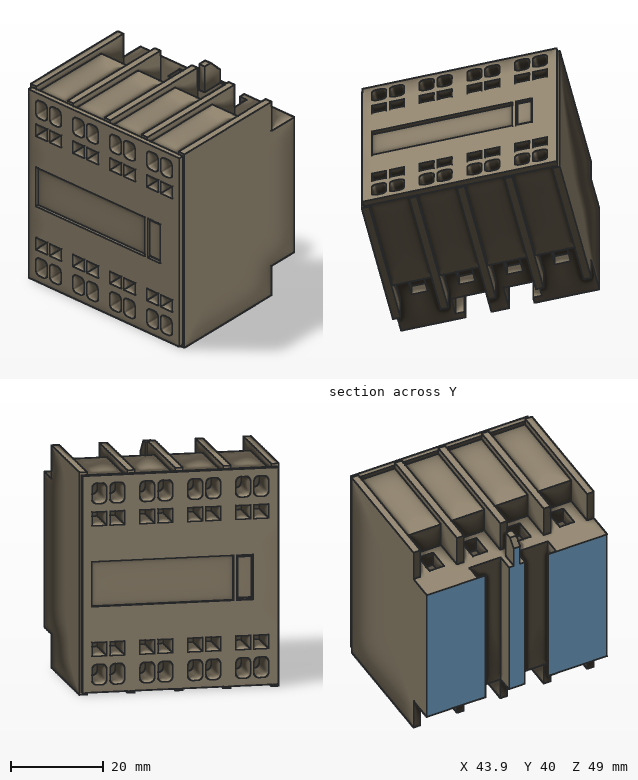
import cadquery as cq


WIDTH = 43.9
HEIGHT = 49.0
DEPTH = 40.0

PLATE_THICKNESS = 1.2
PLATE_WIDTH = 43.05
PLATE_HEIGHT = 47.75

BODY_BACK = 37.25
CORE_HEIGHT = 34.2
BAY_HEIGHT = 45.9
BAY_BACK = 22.4

BAY_COUNT = 4
RIB_THICKNESS = 1.65
RIB_BACK = 29.75
PITCH = (WIDTH - RIB_THICKNESS) / BAY_COUNT

LEDGE_POCKET_WIDTH = 3.55
LEDGE_POCKET_FRONT = 23.8
LEDGE_POCKET_LENGTH = 5.1
LEDGE_POCKET_DEPTH = 3.45

OPENING_FRONT = 32.0
OPENING_OUTER_X = 9.55
LIP_END_X = 7.6
LIP_THICKNESS = 1.4
STEM_WIDTH = 3.9

LATCH_THICKNESS = 1.55
LATCH_FRONT = 32.1
LATCH_TOP = 23.7
LATCH_CHAMFER = 3.15

EYELET_WIDTH = 4.9
EYELET_HEIGHT = 3.45
EYELET_CENTER_Z = 13.77
EYELET_HOLE_WIDTH = 3.25
EYELET_HOLE_LENGTH = 1.65

COLUMN_SPACING = 3.95
TERMINAL_WIDTH = 3.25
TERMINAL_DEPTH = 9.8
SLOT_HEIGHT = 4.5
SLOT_CENTER_Z = 19.95
SLOT_CORNER_RADIUS = 1.15
SQUARE_HEIGHT = 3.05
SQUARE_CENTER_Z = 14.35

RECESS_HEIGHT = 9.9
RECESS_DEPTH = 0.8
LABEL_LEFT = -19.45
LABEL_LENGTH = 31.2
BUTTON_LEFT = 12.45
BUTTON_RECESS_WIDTH = 3.65
BUTTON_WIDTH = 3.1
BUTTON_HEIGHT = 9.0
BUTTON_RISE = 0.4

bay_centers = [(i - (BAY_COUNT - 1) / 2) * PITCH for i in range(BAY_COUNT)]
rib_centers = [(i - BAY_COUNT / 2) * PITCH for i in range(BAY_COUNT + 1)]


def block(x_center, width, y_front, y_back, z_center, height):
    """Box centred in X and Z that runs from y_front to y_back."""
    return (
        cq.Workplane("XY")
        .box(width, y_back - y_front, height)
        .translate((x_center, (y_front + y_back) / 2, z_center))
    )


def make_housing():
    housing = block(0, PLATE_WIDTH, 0, PLATE_THICKNESS, 0, PLATE_HEIGHT)
    housing = housing.union(block(0, WIDTH, PLATE_THICKNESS, BAY_BACK, 0, BAY_HEIGHT))
    housing = housing.union(block(0, WIDTH, PLATE_THICKNESS, BODY_BACK, 0, CORE_HEIGHT))
    for x in rib_centers:
        housing = housing.union(block(x, RIB_THICKNESS, PLATE_THICKNESS, RIB_BACK, 0, HEIGHT))
    return housing


def cut_ledge_pockets(body):
    pocket_back = LEDGE_POCKET_FRONT + LEDGE_POCKET_LENGTH
    for x in bay_centers:
        for side in (1, -1):
            z = side * (CORE_HEIGHT - LEDGE_POCKET_DEPTH) / 2
            pocket = block(
                x, LEDGE_POCKET_WIDTH, LEDGE_POCKET_FRONT, pocket_back, z, LEDGE_POCKET_DEPTH
            )
            body = body.cut(pocket)
    return body


def cut_back_openings(body):
    stem_x = STEM_WIDTH / 2
    lip_front = BODY_BACK - LIP_THICKNESS
    opening = (
        cq.Workplane("XY")
        .moveTo(stem_x, OPENING_FRONT)
        .lineTo(OPENING_OUTER_X, OPENING_FRONT)
        .lineTo(OPENING_OUTER_X, lip_front)
        .lineTo(LIP_END_X, lip_front)
        .lineTo(LIP_END_X, BODY_BACK)
        .lineTo(stem_x, BODY_BACK)
        .close()
        .extrude(CORE_HEIGHT / 2, both=True)
    )
    return body.cut(opening).cut(opening.mirror("YZ"))


def make_latch():
    base = CORE_HEIGHT / 2
    return (
        cq.Workplane("YZ")
        .moveTo(LATCH_FRONT, base)
        .lineTo(BODY_BACK, base)
        .lineTo(BODY_BACK, LATCH_TOP - LATCH_CHAMFER)
        .lineTo(BODY_BACK - LATCH_CHAMFER, LATCH_TOP)
        .lineTo(LATCH_FRONT, LATCH_TOP)
        .close()
        .extrude(LATCH_THICKNESS / 2, both=True)
    )


def make_eyelet():
    eyelet = block(0, EYELET_WIDTH, BODY_BACK, DEPTH, EYELET_CENTER_Z, EYELET_HEIGHT)
    middle = (BODY_BACK + DEPTH) / 2
    hole_front = middle - EYELET_HOLE_LENGTH / 2
    hole_back = middle + EYELET_HOLE_LENGTH / 2
    hole = block(0, EYELET_HOLE_WIDTH, hole_front, hole_back, EYELET_CENTER_Z, EYELET_HEIGHT)
    return eyelet.cut(hole)


def cut_terminals(body):
    for bay_x in bay_centers:
        for x in (bay_x - COLUMN_SPACING / 2, bay_x + COLUMN_SPACING / 2):
            for side in (1, -1):
                slot = block(
                    x, TERMINAL_WIDTH, 0, TERMINAL_DEPTH, side * SLOT_CENTER_Z, SLOT_HEIGHT
                )
                square = block(
                    x, TERMINAL_WIDTH, 0, TERMINAL_DEPTH, side * SQUARE_CENTER_Z, SQUARE_HEIGHT
                )
                body = body.cut(slot.edges("|Y").fillet(SLOT_CORNER_RADIUS)).cut(square)
    return body


def cut_front_recesses(body):
    label_x = LABEL_LEFT + LABEL_LENGTH / 2
    button_x = BUTTON_LEFT + BUTTON_RECESS_WIDTH / 2
    label = block(label_x, LABEL_LENGTH, 0, RECESS_DEPTH, 0, RECESS_HEIGHT)
    recess = block(button_x, BUTTON_RECESS_WIDTH, 0, RECESS_DEPTH, 0, RECESS_HEIGHT)
    button = block(
        button_x, BUTTON_WIDTH, RECESS_DEPTH - BUTTON_RISE, RECESS_DEPTH, 0, BUTTON_HEIGHT
    )
    return body.cut(label).cut(recess).union(button)


result = make_housing()
result = cut_ledge_pockets(result)
result = cut_back_openings(result)
result = result.union(make_latch()).union(make_eyelet())
result = cut_terminals(result)
result = cut_front_recesses(result)